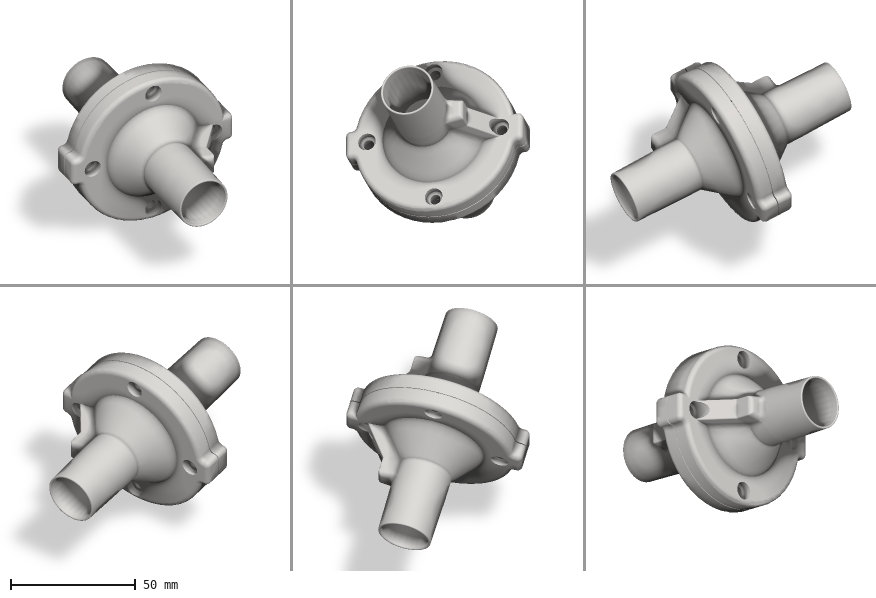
import cadquery as cq
import math


half_length = 49.9
flange_face = 7.1
cone_end = 19.9
collar_end = 27.9

flap_thickness = 0.4
flap_gap = 0.9
flap_radius = 32.7
seat = flap_thickness / 2

flange_radius = 33.06
lug_reach = 36.55
lug_half_width = 6.0
flange_round = 2.0

cone_radius = 21.095
collar_radius = 11.3
spigot_tip_radius = 10.9
tip_round = 0.4
cone_slope = (cone_radius - collar_radius) / (cone_end - flange_face)
cone_base_radius = cone_radius + cone_slope * (flange_face - seat)

bore_radius = 9.8
bore_mouth_radius = 10.0
cavity_radius = bore_radius + cone_slope * (cone_end - seat)

screw_count = 4
screw_circle_radius = 27.5
screw_hole_radius = 2.14
counterbore_radius = 3.64
counterbore_depth = 3.0

rib_top = 17.3
rib_root = 8.0
rib_top_half_width = 4.1
rib_side_slope = 0.16
rib_top_round = 0.5
rib_front_round = 2.0
rib_foot_round = 2.0
rib_inner_end = flange_face / 2
block_middle = (cone_end + collar_end) / 2
gusset_middle = (rib_inner_end + cone_end) / 2


def nearest_edge(part, point):
    """The edge whose centre lies closest to the point."""
    return part.edges(cq.selectors.NearestToPointSelector(point)).val()


def disc(radius, start, end):
    return cq.Workplane("YZ").workplane(offset=start).circle(radius).extrude(end - start)


def screw_drills(radius, start, end):
    """Cylinders at every screw position, from start to end along X."""
    plane = cq.Workplane("YZ").workplane(offset=start)
    places = plane.polarArray(screw_circle_radius, 0, 360, screw_count)
    return places.circle(radius).extrude(end - start)


def revolve_about_flow_axis(profile):
    """Solid of revolution from (x, radius) points."""
    return cq.Workplane("XZ").polyline(profile).close().revolve(360, (0, 0, 0), (1, 0, 0))


def make_flange():
    """Round flange with two lugs; the +Y +Z lug root is the only one left sharp."""
    thickness = flange_face - seat
    middle = (seat + flange_face) / 2
    lugs = cq.Workplane("XY").box(thickness, 2 * lug_reach, 2 * lug_half_width)
    flange = disc(flange_radius, seat, flange_face).union(lugs.translate((middle, 0, 0)))

    root_y = math.sqrt(flange_radius**2 - lug_half_width**2)
    for y_side, z_side in ((1, -1), (-1, 1), (-1, -1)):
        root = nearest_edge(flange, (middle, y_side * root_y, z_side * lug_half_width))
        flange = flange.newObject([root]).fillet(flange_round)

    lug_corners = [
        nearest_edge(flange, (middle, y_side * lug_reach, z_side * lug_half_width))
        for y_side in (-1, 1)
        for z_side in (-1, 1)
    ]
    rim_edges = flange.faces(">X").edges().vals()
    return flange.newObject(rim_edges + lug_corners).fillet(flange_round)


def make_hub():
    """Solid cone, collar and spigot, rounded at the outer end."""
    hub = revolve_about_flow_axis([
        (seat, 0),
        (seat, cone_base_radius),
        (cone_end, collar_radius),
        (collar_end, collar_radius),
        (half_length, spigot_tip_radius),
        (half_length, 0),
    ])
    return hub.edges(">X").fillet(tip_round)


def cone_rise(x):
    """How much higher the rib stands at x than on the collar."""
    return cone_slope * max(0, cone_end - x)


def rib_section(x):
    """Trapezoid in the plane at x that widens from its flat top to its root."""
    top = rib_top + cone_rise(x)
    root = rib_root + cone_rise(x)
    root_half_width = rib_top_half_width + rib_side_slope * (rib_top - rib_root)
    corners = [
        cq.Vector(x, top, -rib_top_half_width),
        cq.Vector(x, top, rib_top_half_width),
        cq.Vector(x, root, root_half_width),
        cq.Vector(x, root, -root_half_width),
    ]
    return cq.Wire.makePolygon(corners, close=True)


def rib_span(start, end):
    return cq.Workplane(obj=cq.Solid.makeLoft([rib_section(start), rib_section(end)], True))


def make_rib():
    """Block and gusset in one piece, with rounded top and front edges."""
    rib = rib_span(cone_end, collar_end).union(rib_span(rib_inner_end, cone_end))
    top_edges = [
        nearest_edge(rib, (x, rib_top + cone_rise(x), side * rib_top_half_width))
        for x in (block_middle, gusset_middle)
        for side in (-1, 1)
    ]
    rib = rib.newObject(top_edges).fillet(rib_top_round)
    return rib.faces(">X").edges("not <Y").fillet(rib_front_round)


def make_ribbed_hub():
    """Hub with its rib, rounded along the foot of the rib."""
    hub = make_hub().union(make_rib())
    foot_z = rib_top_half_width + rib_side_slope * (rib_top - collar_radius)
    foot_y = math.sqrt(collar_radius**2 - foot_z**2)
    foot_edges = [
        nearest_edge(hub, (x, foot_y + cone_rise(x), side * foot_z))
        for x in (block_middle, gusset_middle)
        for side in (-1, 1)
    ]
    return hub.newObject(foot_edges).fillet(rib_foot_round)


def make_passage():
    """Flow passage: conical cavity, straight bore and slightly flared mouth."""
    return revolve_about_flow_axis([
        (seat, 0),
        (seat, cavity_radius),
        (cone_end, bore_radius),
        (collar_end, bore_radius),
        (half_length, bore_mouth_radius),
        (half_length, 0),
    ])


def make_housing():
    """Housing on the +X side of the parting plane."""
    housing = make_flange().union(make_ribbed_hub()).cut(make_passage())
    housing = housing.faces(">X").edges(cq.selectors.RadiusNthSelector(0)).fillet(tip_round)
    housing = housing.cut(screw_drills(screw_hole_radius, seat, flange_face))
    return housing.cut(screw_drills(counterbore_radius, flange_face - counterbore_depth, cone_end))


def make_flap(side):
    """Half disc on the given side of the Y = 0 plane, notched and drilled for the screws."""
    half_space = cq.Workplane("XY").box(flap_thickness, flap_radius, 2 * flap_radius)
    half_space = half_space.translate((0, side * (flap_gap + flap_radius) / 2, 0))
    flap = disc(flap_radius, -seat, seat).intersect(half_space)
    return flap.cut(screw_drills(screw_hole_radius, -seat, seat))


outlet_housing = make_housing()
inlet_housing = outlet_housing.mirror("YZ")
flaps = [make_flap(side) for side in (-1, 1)]

result = cq.Compound.makeCompound([
    outlet_housing.val(),
    inlet_housing.val(),
    *[flap.val() for flap in flaps],
])